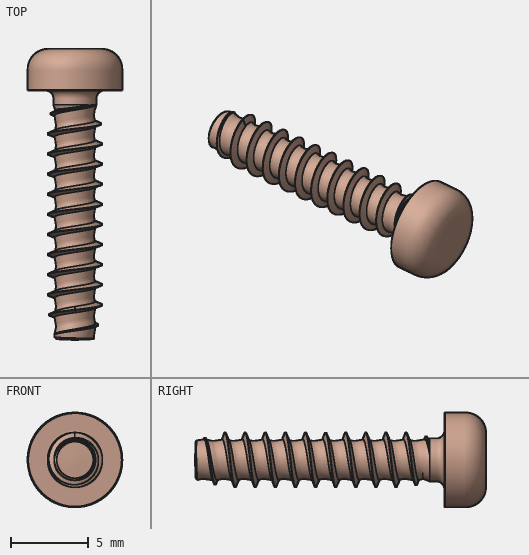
import cadquery as cq
import math


head_radius = 3.05
head_height = 2.69
dome_radius = 1.34
bearing_edge_chamfer = 0.06

neck_radius = 1.39
neck_fillet = 0.5
neck_end = -0.92
neck_taper_end = -1.6
neck_taper_radius = 1.15

shank_length = 16.0
root_radius = 1.23
tip_cone_height = 0.05
tip_edge_radius = 1.17
tip_plane = -shank_length + tip_cone_height

pitch = 1.29
ridge_radius = 1.34
ridge_end_radius = 1.22
ridge_buried_radius = 1.1
ridge_upper_width = 0.5
ridge_gap = 0.03
ridge_lower_width = pitch - ridge_upper_width - ridge_gap

crest_radius = 1.76
crest_width = 0.04
thread_depth = 0.6
upper_flank_slope = 0.42
lower_flank_slope = 0.36

full_thread_start = -14.06
full_thread_turns = 9
full_thread_end = full_thread_start + full_thread_turns * pitch
lower_runout_turns = 1.5
lower_runout_angle = 14.7
upper_runout_turns = 1.5
upper_runout_angle = 10.7
start_side_angle = 270


def make_head():
    """Domed head and filleted neck, tapering into the shank."""
    fillet_mid = neck_fillet * (1 - math.sqrt(0.5))
    dome_mid = dome_radius * (1 - math.sqrt(0.5))
    return (
        cq.Workplane("XZ")
        .moveTo(0, neck_taper_end)
        .lineTo(neck_taper_radius, neck_taper_end)
        .lineTo(neck_radius, neck_end)
        .lineTo(neck_radius, -neck_fillet)
        .threePointArc((neck_radius + fillet_mid, -fillet_mid), (neck_radius + neck_fillet, 0))
        .lineTo(head_radius - bearing_edge_chamfer, 0)
        .lineTo(head_radius, bearing_edge_chamfer)
        .lineTo(head_radius, head_height - dome_radius)
        .threePointArc(
            (head_radius - dome_mid, head_height - dome_mid),
            (head_radius - dome_radius, head_height),
        )
        .lineTo(0, head_height)
        .close()
        .revolve(360, (0, 0, 0), (0, 1, 0))
    )


def sweep_helix(points, path_radius, height, turns, start_angle, cone_angle=360):
    """Sweep an (r, z) outline up a helix; a cone angle of 360 gives a cylindrical helix."""
    stretch = 1 / math.cos(math.radians(cone_angle))
    path = cq.Wire.makeHelix(pitch * stretch, turns * pitch * stretch, path_radius, angle=cone_angle)
    return (
        cq.Workplane("XZ")
        .polyline(points)
        .close()
        .sweep(cq.Workplane(path), isFrenet=True)
        .rotate((0, 0, 0), (0, 0, 1), start_angle)
        .translate((0, 0, height))
    )


def make_ridge():
    """Low helical ridge along the foot of the thread, falling gently to the root on either side."""
    outline = [
        (ridge_buried_radius, 0),
        (ridge_end_radius, -ridge_lower_width),
        (ridge_radius, 0),
        (ridge_end_radius, ridge_upper_width),
    ]
    turns_below = 2
    turns = turns_below + full_thread_turns + upper_runout_turns
    start = full_thread_start - turns_below * pitch
    return sweep_helix(outline, crest_radius, start, turns, start_side_angle)


def thread_outline(outer_radius):
    """Thread section with its crest at the given radius."""
    inner_radius = outer_radius - thread_depth
    half_crest = crest_width / 2
    return [
        (outer_radius, half_crest),
        (inner_radius, half_crest + thread_depth * upper_flank_slope),
        (inner_radius, -half_crest - thread_depth * lower_flank_slope),
        (outer_radius, -half_crest),
    ]


def make_thread_parts():
    """Full-height thread followed by its lower and upper run-outs."""
    full_outline = thread_outline(crest_radius)
    lower_height = lower_runout_turns * pitch
    lower_radius = crest_radius - lower_height * math.tan(math.radians(lower_runout_angle))
    return [
        sweep_helix(full_outline, crest_radius, full_thread_start, full_thread_turns, start_side_angle),
        sweep_helix(
            thread_outline(lower_radius),
            lower_radius,
            full_thread_start - lower_height,
            lower_runout_turns,
            start_side_angle - 360 * lower_runout_turns,
            lower_runout_angle,
        ),
        sweep_helix(
            full_outline,
            crest_radius,
            full_thread_end,
            upper_runout_turns,
            start_side_angle,
            -upper_runout_angle,
        ),
    ]


def make_shank_limits():
    """Solid of revolution that ends the shank at the neck and at the chamfered tip cone."""
    chamfer_reach = head_radius - tip_edge_radius
    return (
        cq.Workplane("XZ")
        .moveTo(0, -shank_length)
        .lineTo(tip_edge_radius, tip_plane)
        .lineTo(head_radius, tip_plane + chamfer_reach)
        .lineTo(head_radius, neck_end)
        .lineTo(0, neck_end)
        .close()
        .revolve(360, (0, 0, 0), (0, 1, 0))
    )


def make_shank():
    """Root cylinder with ridge and thread, trimmed to length."""
    shank = (
        cq.Workplane("XY", origin=(0, 0, -shank_length - pitch))
        .circle(root_radius)
        .extrude(shank_length + 2 * pitch)
        .union(make_ridge())
    )
    for thread_part in make_thread_parts():
        shank = shank.union(thread_part)
    return shank.intersect(make_shank_limits())


screw = make_shank().union(make_head())
result = screw.rotate((0, 0, 0), (1, 0, 0), -90)